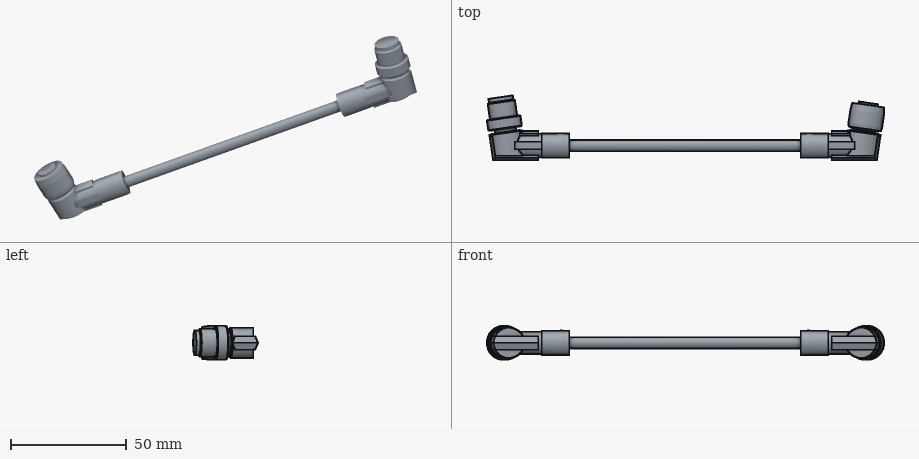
import cadquery as cq
import math

CABLE_DIA = 5.0
CABLE_LENGTH = 100.0

BOOT_END_RADIUS = 5.3
BOOT_RADIUS = 5.35
ARM_RADIUS = 5.15
BOOT_LIP_LENGTH = 3.2
BOOT_LENGTH = 12.0
PIVOT_DISTANCE = 26.66
HEAD_TILT = 8.3

BARREL_RADIUS = 6.6
BARREL_TOP = 6.0
BARREL_CHAMFER = 0.5
BARREL_OVERRUN = 10.0
BASE_DEPTH = 4.4
NECK_RADIUS = 4.7

RIB_HALF_WIDTH = 2.95
RIB_DROP = 1.2
RIB_ARM_HEIGHT = 6.4
RIB_HEAD_HEIGHT = 7.2
RIB_START = 13.4
RIB_TOP = 5.7

FLAT_HALF_WIDTH = 1.6
FLAT_END = 23.5

COUPLING_RADIUS = 7.4
COUPLING_START = 7.4

COLLAR_CHAMFER = 0.4
COLLAR_TOP = 12.3
THREAD_RADIUS = 6.0
THREAD_CHAMFER = 0.6
THREAD_TOP = 19.5
TIP_RADIUS = 5.4
TIP_TOP = 21.2

NUT_BASE_RADIUS = 7.1
NUT_CYLINDER_START = 8.9
NUT_CYLINDER_END = 14.7
NUT_TOP = 17.7
NUT_TOP_RADIUS = 7.0
NUT_BACK_START = 6.6
INSERT_RADIUS = 4.2
INSERT_TOP = 18.7

TILT = math.radians(HEAD_TILT)

FLAT_HEIGHT = math.sqrt(ARM_RADIUS**2 - FLAT_HALF_WIDTH**2)


def on_head(radial, along):
    """Point in the XY plane given by its offsets from the head axis, pivot at the origin."""
    return (
        radial * math.cos(TILT) + along * math.sin(TILT),
        -radial * math.sin(TILT) + along * math.cos(TILT),
    )


def spin_about_head(profile):
    """Revolve a (radius, along) profile about Y, then tilt it onto the head axis."""
    solid = cq.Workplane("XY").polyline(profile).close().revolve(360, (0, 0), (0, 1))
    return solid.rotate((0, 0, 0), (0, 0, 1), -HEAD_TILT)


def box_between(x_range, y_range, z_range):
    sizes = [high - low for low, high in (x_range, y_range, z_range)]
    corner = (x_range[0], y_range[0], z_range[0])
    return cq.Workplane("XY").box(*sizes, centered=False).translate(corner)


def sleeve():
    """Boot with a slightly raised lip, continuing as the elbow arm up to the pivot."""
    boot_end = -PIVOT_DISTANCE
    profile = [
        (boot_end, 0),
        (boot_end, BOOT_END_RADIUS),
        (boot_end + BOOT_LIP_LENGTH, BOOT_RADIUS),
        (boot_end + BOOT_LENGTH, BOOT_END_RADIUS),
        (boot_end + BOOT_LENGTH, ARM_RADIUS),
        (0, ARM_RADIUS),
        (0, 0),
    ]
    return cq.Workplane("XY").polyline(profile).close().revolve(360, (0, 0), (1, 0))


def barrel():
    """Head barrel with its neck, cut flat at the base parallel to the cable."""
    profile = [
        (0, -BARREL_OVERRUN),
        (BARREL_RADIUS, -BARREL_OVERRUN),
        (BARREL_RADIUS, BARREL_TOP - BARREL_CHAMFER),
        (BARREL_RADIUS - BARREL_CHAMFER, BARREL_TOP),
        (NECK_RADIUS, BARREL_TOP),
        (NECK_RADIUS, COUPLING_START),
        (0, COUPLING_START),
    ]
    reach = 2 * BARREL_OVERRUN
    below_base = box_between((-reach, reach), (-reach, -BASE_DEPTH), (-reach, reach))
    return spin_about_head(profile).cut(below_base)


def grip_flats():
    """Two blocks that leave a flat on the top and bottom of the arm."""
    x_range = (BOOT_LENGTH - PIVOT_DISTANCE, FLAT_END - PIVOT_DISTANCE)
    outside = 2 * BARREL_RADIUS
    block = box_between(x_range, (-FLAT_HALF_WIDTH, FLAT_HALF_WIDTH), (FLAT_HEIGHT, outside))
    return block.union(block.mirror("XY"))


def rib():
    """L-shaped rib with mitred roofs, its tapered cable end trimmed square."""
    rib_start = RIB_START - PIVOT_DISTANCE
    overrun_start = rib_start - 2 * RIB_DROP

    def head_x(radial, y):
        return (radial + y * math.sin(TILT)) / math.cos(TILT)

    outline = [
        (overrun_start, -RIB_ARM_HEIGHT),
        (head_x(RIB_HEAD_HEIGHT, -RIB_ARM_HEIGHT), -RIB_ARM_HEIGHT),
        on_head(RIB_HEAD_HEIGHT, RIB_TOP),
        on_head(-RIB_HEAD_HEIGHT, RIB_TOP),
        (head_x(-RIB_HEAD_HEIGHT, RIB_ARM_HEIGHT), RIB_ARM_HEIGHT),
        (overrun_start, RIB_ARM_HEIGHT),
    ]
    roof_angle = math.degrees(math.atan2(RIB_DROP, RIB_HALF_WIDTH))
    upper = cq.Workplane("XY").polyline(outline).close().extrude(RIB_HALF_WIDTH, taper=roof_angle)
    overrun = box_between(
        (overrun_start, rib_start),
        (-RIB_ARM_HEIGHT, RIB_ARM_HEIGHT),
        (0, RIB_HALF_WIDTH),
    )
    upper = upper.cut(overrun)
    return upper.union(upper.mirror("XY"))


def elbow():
    return sleeve().union(barrel()).cut(grip_flats()).union(rib())


def plug_coupling():
    """Collar, sleeve and tip of the plug."""
    return spin_about_head([
        (0, COUPLING_START),
        (COUPLING_RADIUS - COLLAR_CHAMFER, COUPLING_START),
        (COUPLING_RADIUS, COUPLING_START + COLLAR_CHAMFER),
        (COUPLING_RADIUS, COLLAR_TOP - COLLAR_CHAMFER),
        (COUPLING_RADIUS - COLLAR_CHAMFER, COLLAR_TOP),
        (THREAD_RADIUS, COLLAR_TOP),
        (THREAD_RADIUS, THREAD_TOP - THREAD_CHAMFER),
        (TIP_RADIUS, THREAD_TOP),
        (TIP_RADIUS, TIP_TOP),
        (0, TIP_TOP),
    ])


def socket_coupling():
    """Coupling nut of the socket with the contact insert standing proud of it."""
    return spin_about_head([
        (0, NUT_BACK_START),
        (NECK_RADIUS, NUT_BACK_START),
        (NUT_BASE_RADIUS, COUPLING_START),
        (COUPLING_RADIUS, NUT_CYLINDER_START),
        (COUPLING_RADIUS, NUT_CYLINDER_END),
        (NUT_TOP_RADIUS, NUT_TOP),
        (INSERT_RADIUS, NUT_TOP),
        (INSERT_RADIUS, INSERT_TOP),
        (0, INSERT_TOP),
    ])


pivot_x = CABLE_LENGTH / 2 + PIVOT_DISTANCE
socket = elbow().union(socket_coupling()).translate((pivot_x, 0, 0))
plug = elbow().union(plug_coupling()).translate((pivot_x, 0, 0)).mirror("YZ")
cable = cq.Workplane("YZ").circle(CABLE_DIA / 2).extrude(pivot_x, both=True)

result = cable.union(socket).union(plug)